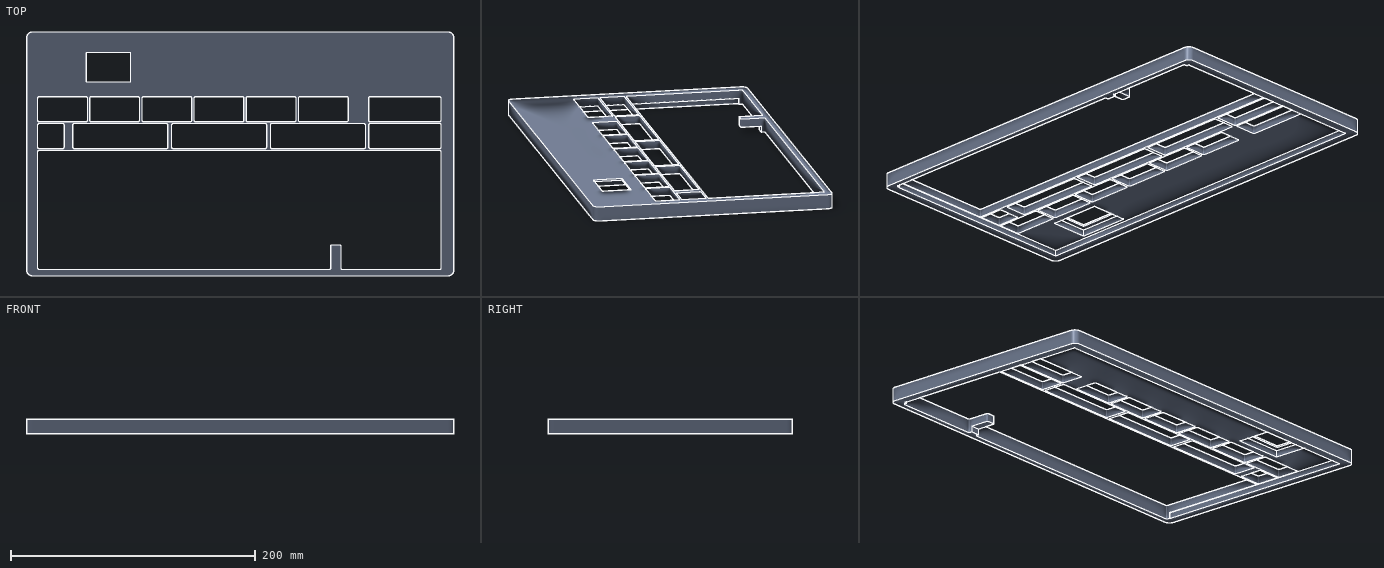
import cadquery as cq

length = 350.0
width = 200.0
height = 12.0
corner_radius = 5.0

wall = 8.5
plate_thickness = 7.0
cavity_height = height - plate_thickness

left_border = 9.2
right_border = 10.7
front_border = 5.5
opening_left = left_border
opening_right = length - right_border
opening_radius = 1.0

upper_row_top = 146.8
row_pitch = 22.0
bar_width = 1.6
key_depth = row_pitch - bar_width
lower_row_top = upper_row_top - row_pitch
main_opening_top = lower_row_top - row_pitch

wide_left = 280.3
wide_width = opening_right - wide_left

upper_count = 6
upper_pitch = 42.7
upper_gap = 2.15
upper_width = upper_pitch - upper_gap

small_width = 21.5
long_count = 3
long_left = 38.0
long_pitch = 80.9
long_gap = 3.3
long_width = long_pitch - long_gap

tab_left = 249.0
tab_width = 8.5
tab_end = 25.5

window_left = 49.0
window_width = 36.0
window_top = 183.0
window_height = 24.0
window_front = window_top - window_height
window_lip = 1.5
recess_margin = 5.0


def block(x_min, y_min, x_size, y_size, z_size):
    """Box standing on the base plane with its front-left corner at (x_min, y_min)."""
    return cq.Workplane("XY").box(x_size, y_size, z_size, centered=False).translate((x_min, y_min, 0))


def key_opening(x_min, y_max, x_size):
    """Rounded key opening through the full height."""
    cutter = block(x_min, y_max - key_depth, x_size, key_depth, height)
    return cutter.edges("|Z").fillet(opening_radius)


def hollow_case():
    """Rounded case with the underside hollowed out below the top plate."""
    case = block(0, 0, length, width, height).edges("|Z").fillet(corner_radius)
    cavity = block(wall, wall, length - 2 * wall, width - 2 * wall, cavity_height)
    return case.cut(cavity)


def upper_row():
    cutters = [key_opening(wide_left, upper_row_top, wide_width)]
    for index in range(upper_count):
        x_min = opening_left + index * upper_pitch
        cutters.append(key_opening(x_min, upper_row_top, upper_width))
    return cutters


def lower_row():
    cutters = [
        key_opening(opening_left, lower_row_top, small_width),
        key_opening(wide_left, lower_row_top, wide_width),
    ]
    for index in range(long_count):
        x_min = long_left + index * long_pitch
        cutters.append(key_opening(x_min, lower_row_top, long_width))
    return cutters


def main_opening():
    """Large opening that leaves the tab standing."""
    opening_width = opening_right - opening_left
    opening = block(opening_left, front_border, opening_width, main_opening_top - front_border, height)
    tab = block(tab_left, front_border, tab_width, tab_end - front_border, height)
    return opening.cut(tab).edges("|Z").fillet(opening_radius)


def display_window():
    """Window through the top plate and the wider recess beneath its lip."""
    window = block(window_left, window_front, window_width, window_height, height)
    recess = block(
        window_left - recess_margin,
        window_front - recess_margin,
        window_width + 2 * recess_margin,
        window_height + 2 * recess_margin,
        height - window_lip,
    )
    return window.union(recess)


result = hollow_case()
for cutter in upper_row() + lower_row() + [main_opening(), display_window()]:
    result = result.cut(cutter)